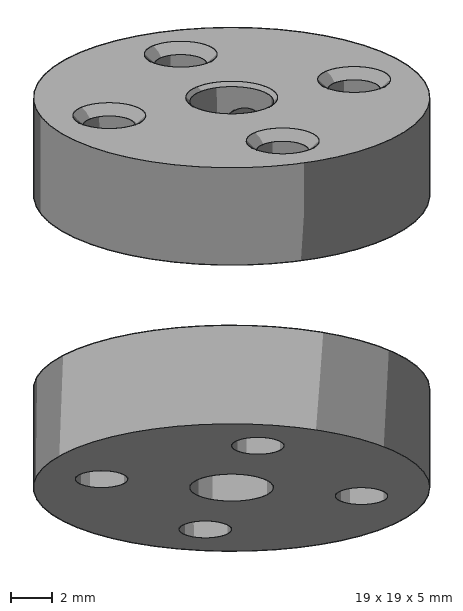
import cadquery as cq

hub_diameter = 19.0
hub_height = 5.0
hub_radius = hub_diameter / 2

bore_diameter = 4.0
bore_mouth_diameter = 4.4

mount_hole_spacing = 8.99
mount_hole_diameter = 2.5
mount_hole_mouth_diameter = 3.5

set_screw_diameter = 2.5
set_screw_mouth_diameter = 3.5


def flared_hole(diameter, mouth_diameter, length):
    """Cutter running from Z = 0 down to -length, with a 45 degree flare at its upper end."""
    flare = (mouth_diameter - diameter) / 2
    profile = [
        (0, 0),
        (mouth_diameter / 2, 0),
        (diameter / 2, -flare),
        (diameter / 2, -length),
        (0, -length),
    ]
    return cq.Workplane("XZ").polyline(profile).close().revolve(360, (0, 0, 0), (0, 1, 0))


hub = cq.Workplane("XY").circle(hub_radius).extrude(hub_height)

bore = flared_hole(bore_diameter, bore_mouth_diameter, hub_height).translate((0, 0, hub_height))
hub = hub.cut(bore)

mount_hole = flared_hole(mount_hole_diameter, mount_hole_mouth_diameter, hub_height)
for x_side in (-1, 1):
    for y_side in (-1, 1):
        x = x_side * mount_hole_spacing / 2
        y = y_side * mount_hole_spacing / 2
        hub = hub.cut(mount_hole.translate((x, y, hub_height)))

set_screw_hole = (
    flared_hole(set_screw_diameter, set_screw_mouth_diameter, hub_radius)
    .rotate((0, 0, 0), (1, 0, 0), -90)
    .translate((0, hub_radius, hub_height / 2))
)
hub = hub.cut(set_screw_hole)

result = hub